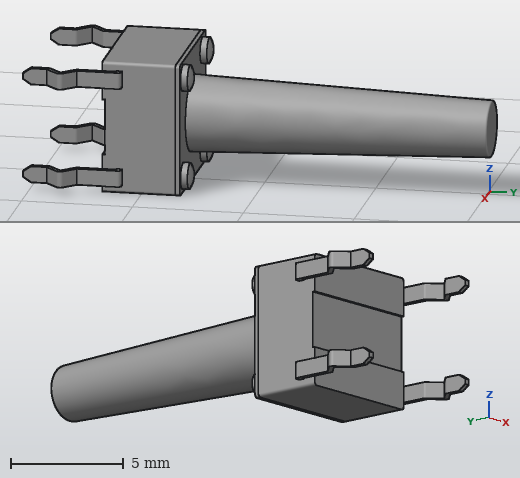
import cadquery as cq
import math


overall_length = 20.5
overall_width = 7.9

body_width = 6.0
body_height = 3.5
corner_radius = 0.15
cover_thickness = 0.2
housing_height = body_height - cover_thickness
channel_width = 2.55
channel_depth = 0.12

plunger_length = 13.49
plunger_base_radius = 1.72
plunger_tip_radius = 1.27
plunger_tip_fillet = 0.08

rivet_pitch = 4.5
rivet_radius = 0.6
rivet_rim_height = 0.3
rivet_dome_height = 0.18

pin_pitch = 4.5
pin_width = 0.74
pin_thickness = 0.25
pin_standoff = 0.35
pin_root_top = 0.9
pin_bend_radius = 0.16
pin_length = overall_length - body_height - plunger_length
kink_center = -1.75
kink_reach = 0.68
kink_inner_reach = 0.62
crest_height = overall_width / 2 - body_width / 2 - pin_standoff
pin_tip_length = 0.37
pin_tip_width = 0.25

kink_crest_radius = (kink_reach - crest_height) / (math.sqrt(2) - 1)


def square_slab(bottom, height):
    """Square block with rounded corners, from Y = bottom up to bottom + height."""
    return (
        cq.Workplane("XZ", origin=(0, bottom, 0))
        .rect(body_width, body_width)
        .extrude(-height)
        .edges("|Y")
        .fillet(corner_radius)
    )


def make_housing():
    channel = cq.Workplane("XY").box(body_width, 2 * channel_depth, channel_width)
    return square_slab(0, housing_height).cut(channel)


def make_plunger():
    plunger = (
        cq.Workplane("XY", origin=(0, body_height, 0))
        .lineTo(plunger_base_radius, 0)
        .lineTo(plunger_tip_radius, plunger_length)
        .lineTo(0, plunger_length)
        .close()
        .revolve(360, (0, 0, 0), (0, 1, 0))
    )
    return plunger.faces(">Y").edges().fillet(plunger_tip_fillet)


def make_rivet_head(x, z):
    """Short round stud with a spherical top, standing on the cover."""
    dome_radius = (rivet_radius**2 + rivet_dome_height**2) / (2 * rivet_dome_height)
    half_angle = math.asin(rivet_radius / dome_radius) / 2
    top = rivet_rim_height + rivet_dome_height
    dome_middle = (
        dome_radius * math.sin(half_angle),
        top - dome_radius * (1 - math.cos(half_angle)),
    )
    return (
        cq.Workplane("XY", origin=(x, body_height, z))
        .lineTo(rivet_radius, 0)
        .lineTo(rivet_radius, rivet_rim_height)
        .threePointArc(dome_middle, (0, top))
        .close()
        .revolve(360, (0, 0, 0), (0, 1, 0))
    )


def make_cover():
    """Cover plate carrying the plunger and the four rivet heads."""
    cover = square_slab(housing_height, cover_thickness).union(make_plunger())
    for x in (-rivet_pitch / 2, rivet_pitch / 2):
        for z in (-rivet_pitch / 2, rivet_pitch / 2):
            cover = cover.union(make_rivet_head(x, z))
    return cover


def make_pin(side, z):
    """Bent strip pin on the +X (side = 1) or -X (side = -1) face of the housing."""
    root = body_width / 2
    outer = root + pin_standoff
    inner = outer - pin_thickness
    kink_top = kink_center + kink_reach
    kink_bottom = kink_center - kink_reach
    kink_inner_top = kink_center + kink_inner_reach
    kink_inner_bottom = kink_center - kink_inner_reach
    strip = (
        cq.Workplane("XY")
        .polyline([
            (root, pin_root_top),
            (outer, pin_root_top),
            (outer, kink_top),
            (outer + kink_reach, kink_center),
            (outer, kink_bottom),
            (outer, -pin_length),
            (inner, -pin_length),
            (inner, kink_inner_bottom),
            (inner + kink_inner_reach, kink_center),
            (inner, kink_inner_top),
            (inner, pin_root_top - pin_thickness),
            (root, pin_root_top - pin_thickness),
        ])
        .close()
        .extrude(pin_width / 2, both=True)
    )
    bends = [
        (outer, pin_root_top, pin_bend_radius),
        (outer + kink_reach, kink_center, kink_crest_radius),
        (inner, kink_inner_top, pin_bend_radius),
        (inner, kink_inner_bottom, pin_bend_radius),
    ]
    for x, y, radius in bends:
        corner = cq.NearestToPointSelector((x, y, 0))
        strip = strip.edges("|Z").edges(corner).fillet(radius)

    taper_start = -pin_length + pin_tip_length
    outline = (
        cq.Workplane("ZY")
        .polyline([
            (-pin_width / 2, pin_root_top),
            (-pin_width / 2, taper_start),
            (-pin_tip_width / 2, -pin_length),
            (pin_tip_width / 2, -pin_length),
            (pin_width / 2, taper_start),
            (pin_width / 2, pin_root_top),
        ])
        .close()
        .extrude(-body_width)
    )
    pin = strip.intersect(outline)
    if side < 0:
        pin = pin.mirror("YZ")
    return pin.translate((0, 0, z))


housing = make_housing()
cover = make_cover()
pins = [
    make_pin(side, z)
    for side in (-1, 1)
    for z in (-pin_pitch / 2, pin_pitch / 2)
]

result = cq.Compound.makeCompound([
    housing.val(),
    cover.val(),
    *[pin.val() for pin in pins],
])